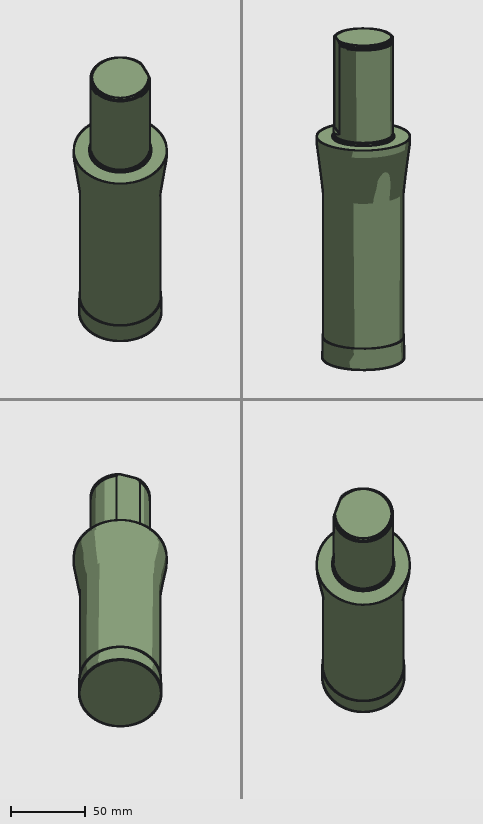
import cadquery as cq

total_height = 227.0

head_radius = 27.7
head_top_radius = 27.5
tip_flat_radius = 10.2
tip_height = 1.1
rim_chamfer = 0.5
head_top = 16.3

body_radius = 54.3 / 2
flange_radius = 62.5 / 2
taper_bottom = 118.0
taper_top = 151.6
flange_top = 157.0

shank_radius = 40.0 / 2
groove_radius = 39.5 / 2
groove_bottom = total_height - 3.2
groove_top = total_height - 1.8
groove_slope = 0.7
end_chamfer = 1.1
relief_radius = 38.5 / 2
relief_outer_radius = 41.8 / 2
relief_depth = 0.5
relief_top = flange_top + 1.1
relief_slope_top = relief_top + 0.7

flat_offset = 18.2
flat_bottom = 160.3
flat_runout = 2.3


def revolve_profile(points):
    """Revolve a closed (radius, height) outline about the Z axis."""
    return cq.Workplane("XZ").polyline(points).close().revolve(360, (0, 0), (0, 1))


def make_cutting_head():
    return revolve_profile([
        (0, 0),
        (tip_flat_radius, 0),
        (head_radius - rim_chamfer, tip_height),
        (head_radius, tip_height + rim_chamfer),
        (head_top_radius, head_top),
        (0, head_top),
    ])


def make_flat_cutter():
    """Prism that removes the shank material beyond the flat."""
    return (
        cq.Workplane("YZ")
        .polyline([
            (flat_offset, total_height),
            (flat_offset, flat_bottom + flat_runout),
            (flat_offset + flat_runout, flat_bottom),
            (flange_radius, flat_bottom),
            (flange_radius, total_height),
        ])
        .close()
        .extrude(flange_radius, both=True)
    )


def make_holder():
    relief_floor = flange_top - relief_depth
    turned = revolve_profile([
        (0, head_top),
        (body_radius, head_top),
        (body_radius, taper_bottom),
        (flange_radius, taper_top),
        (flange_radius, flange_top),
        (relief_outer_radius, flange_top),
        (relief_outer_radius - relief_depth, relief_floor),
        (relief_radius, relief_floor),
        (relief_radius, relief_top),
        (shank_radius, relief_slope_top),
        (shank_radius, groove_bottom),
        (groove_radius, groove_bottom + groove_slope),
        (groove_radius, groove_top),
        (shank_radius, groove_top),
        (shank_radius, total_height - end_chamfer),
        (shank_radius - end_chamfer, total_height),
        (0, total_height),
    ])
    return turned.cut(make_flat_cutter())


cutting_head = make_cutting_head()
holder = make_holder()

result = cq.Compound.makeCompound([cutting_head.val(), holder.val()])